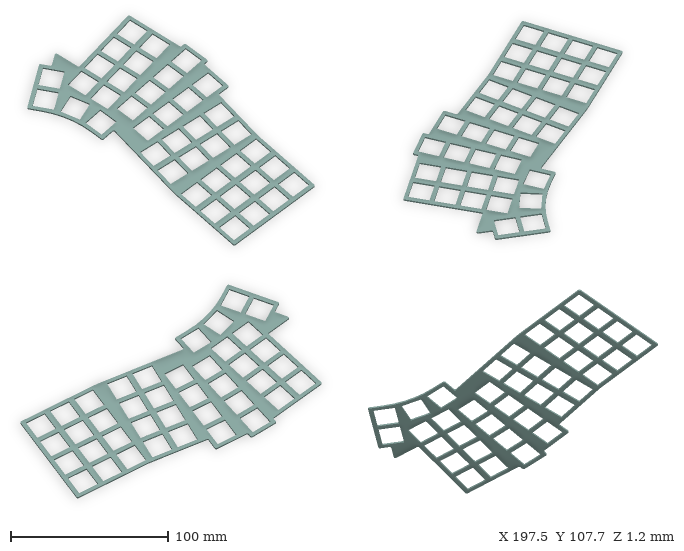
import cadquery as cq
import math


thickness = 1.2
switch_hole = 14.0
cell_width = 18.0
cell_depth = 17.0
rim = 1.0
rows = 4
bend_radius = 75

fan_center = (52.1, -50.7)
fan_radius = 76.5
fan_step = 15
fan_start = -5

shelf_drop = 0.2
shelf_overhang = 2.0


def shifted(frame, across, along):
    """Frame moved by an offset measured along its own tilted axes."""
    x, y, tilt = frame
    c = math.cos(math.radians(tilt))
    s = math.sin(math.radians(tilt))
    return (x + across * c - along * s, y + across * s + along * c, tilt)


def fan_key(index):
    """Frame of a thumb key, counted outwards from the innermost one."""
    tilt = fan_start + index * fan_step
    return shifted((*fan_center, tilt), 0, fan_radius)


block_a = ((31.0, 43.5, 0), 2, rows)
block_b = ((67.7, 46.5, -5), 1, rows)
block_c = ((85.7, 40.0, -10), 1, rows)
block_d = ((101.5, 26.8, -15), 2, rows)
block_e = ((141.7, 17.0, -10), 3, rows)
thumb_inner = (fan_key(0), 1, 1)
thumb_middle = (fan_key(1), 1, 1)
thumb_outer = (fan_key(2), 1, 2)
blocks = [block_a, block_b, block_c, block_d, block_e, thumb_inner, thumb_middle, thumb_outer]


def left(block):
    frame = shifted(block[0], -cell_width / 2, 0)
    return frame, frame[2] + 90


def right(block):
    first_key, columns, _ = block
    frame = shifted(first_key, columns * cell_width - cell_width / 2, 0)
    return frame, frame[2] + 90


def bottom(block):
    frame = shifted(block[0], 0, -cell_depth / 2)
    return frame, frame[2]


def top(block):
    first_key, _, row_count = block
    frame = shifted(first_key, 0, row_count * cell_depth - cell_depth / 2)
    return frame, frame[2]


def meet(first, second):
    """Point where two lines cross."""
    (x1, y1, _), angle1 = first
    (x2, y2, _), angle2 = second
    a1 = math.radians(angle1)
    a2 = math.radians(angle2)
    reach = ((x2 - x1) * math.sin(a2) - (y2 - y1) * math.cos(a2)) / math.sin(a2 - a1)
    return (x1 + reach * math.cos(a1), y1 + reach * math.sin(a1))


def bottom_middle(block):
    """Point on the bottom cell edge straight below the first key."""
    return bottom(block)[0][:2]


def follow(outline, edges):
    """Extend the outline through the crossings of consecutive edges."""
    for first, second in zip(edges, edges[1:]):
        outline = outline.lineTo(*meet(first, second))
    return outline


def make_plate():
    first_key = block_a[0]
    shelf_top = (shifted(first_key, 0, cell_depth / 2 - rim - shelf_drop), 0)
    shelf_frame = shifted(thumb_outer[0], rim - shelf_overhang, 0)
    shelf_side = (shelf_frame, shelf_frame[2] + 90)

    edges_before_bend = [bottom(thumb_inner), right(thumb_inner), bottom(block_d)]
    edges_after_bend = [
        bottom(block_e), right(block_e), top(block_e),
        top(block_d),
        right(block_c), top(block_c),
        right(block_b), top(block_b), left(block_b),
        top(block_a), left(block_a),
        shelf_top, shelf_side,
        top(thumb_outer), left(thumb_outer), bottom(thumb_outer),
    ]
    outline = cq.Workplane("XY").moveTo(*bottom_middle(thumb_inner))
    outline = follow(outline, edges_before_bend)

    tilt_d = block_d[0][2]
    tilt_e = block_e[0][2]
    bend_corner = meet(bottom(block_d), bottom(block_e))
    bend_reach = (bend_radius - rim) * math.tan(math.radians(tilt_e - tilt_d) / 2)
    bend_start = shifted((*bend_corner, tilt_d), -bend_reach, 0)[:2]
    bend_end = shifted((*bend_corner, tilt_e), bend_reach, 0)[:2]
    outline = outline.lineTo(*bend_start).tangentArcPoint(bend_end, relative=False)
    outline = follow(outline, edges_after_bend)

    outline = outline.lineTo(*bottom_middle(thumb_outer))
    outline = outline.threePointArc(bottom_middle(thumb_middle), bottom_middle(thumb_inner))

    outline = outline.close().offset2D(2 * rim, "arc").offset2D(-rim, "arc")
    return outline.extrude(thickness)


def make_switch_holes():
    holes = cq.Workplane("XY")
    for frame, columns, row_count in blocks:
        for column in range(columns):
            for row in range(row_count):
                x, y, tilt = shifted(frame, column * cell_width, row * cell_depth)
                hole = cq.Workplane("XY").rect(switch_hole, switch_hole).extrude(thickness)
                holes.add(hole.rotate((0, 0, 0), (0, 0, 1), tilt).translate((x, y, 0)))
    return holes.combine(glue=True)


result = make_plate().cut(make_switch_holes())